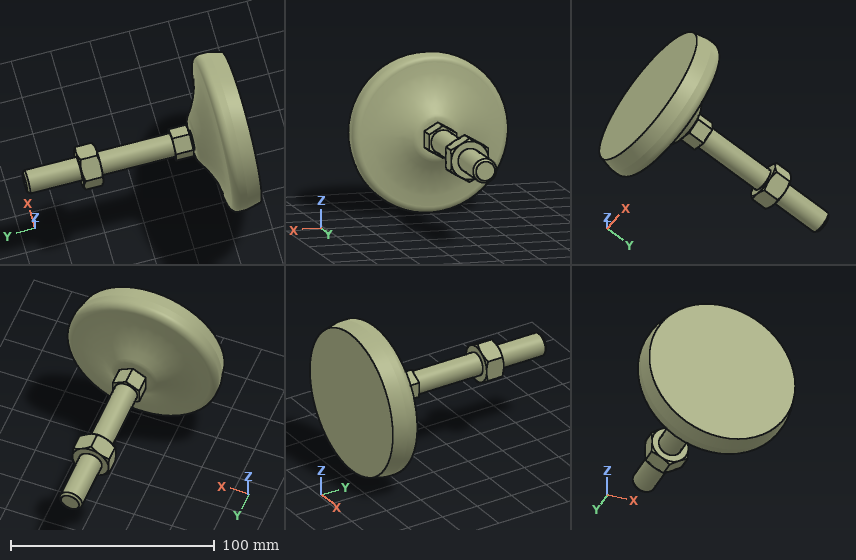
import cadquery as cq
import math


foot_radius = 80.0 / 2
sole_radius = 38.3
seam_height = 7.5
shoulder_height = 11.0
rim_height = 15.0
rim_fillet = rim_height - shoulder_height
dome_top_radius = 12.0
dome_top_height = 24.0
dome_mid_radius = 17.8
dome_mid_height = 20.2
crown_flat_radius = 9.0
foot_height = 25.0

neck_diameter = 10.0
stud_diameter = 12.0
stud_end = 110.0
stud_chamfer = 1.2
collar_width = 14.0
collar_start = 26.0
collar_end = 35.0

nut_width = 19.0
nut_start = 72.5
nut_height = 10.0
nut_chamfer_angle = 30.0


def cylinder(diameter, start, end):
    """Round bar on the Y axis between two heights."""
    bar = cq.Workplane("XY").circle(diameter / 2).extrude(end - start)
    return bar.rotate((0, 0, 0), (1, 0, 0), -90).translate((0, start, 0))


def hexagon(width, start, end):
    """Hexagonal bar on the Y axis with flats facing +X and -X."""
    corner_diameter = width / math.cos(math.pi / 6)
    bar = cq.Workplane("XY").polygon(6, corner_diameter).extrude(end - start).rotate((0, 0, 0), (0, 0, 1), 30)
    return bar.rotate((0, 0, 0), (1, 0, 0), -90).translate((0, start, 0))


def make_foot():
    """Revolved pad with a tapered sole, a rounded rim and a concave dome."""
    fillet_center_radius = foot_radius - rim_fillet
    fillet_mid_offset = rim_fillet * math.sqrt(0.5)
    crown_width = dome_top_radius - crown_flat_radius
    crown_drop = foot_height - dome_top_height
    crown_arc_radius = (crown_width**2 + crown_drop**2) / (2 * crown_drop)
    crown_half_angle = math.atan2(crown_drop, crown_width)
    crown_mid = (
        crown_flat_radius + crown_arc_radius * math.sin(crown_half_angle),
        foot_height - crown_arc_radius * (1 - math.cos(crown_half_angle)),
    )
    profile = (
        cq.Workplane("XY")
        .lineTo(sole_radius, 0)
        .lineTo(foot_radius, seam_height)
        .lineTo(foot_radius, shoulder_height)
        .threePointArc(
            (fillet_center_radius + fillet_mid_offset, shoulder_height + fillet_mid_offset),
            (fillet_center_radius, rim_height),
        )
        .threePointArc((dome_mid_radius, dome_mid_height), (dome_top_radius, dome_top_height))
        .threePointArc(crown_mid, (crown_flat_radius, foot_height))
        .lineTo(0, foot_height)
        .close()
    )
    return profile.revolve(360, (0, 0), (0, 1))


def make_stud():
    """Neck, hexagonal collar and round shank with a chamfered tip."""
    neck = cylinder(neck_diameter, dome_top_height, collar_start)
    collar = hexagon(collar_width, collar_start, collar_end)
    shank = cylinder(stud_diameter, collar_end, stud_end).faces(">Y").chamfer(stud_chamfer)
    return neck.union(collar).union(shank)


def make_nut():
    """Hexagonal nut whose corners are cut by a cone at each end."""
    nut_end = nut_start + nut_height
    corner_radius = nut_width / 2 / math.cos(math.pi / 6)
    face_radius = nut_width / 2
    radial_cut = corner_radius - face_radius
    axial_cut = radial_cut * math.tan(math.radians(nut_chamfer_angle))
    envelope = cylinder(2 * corner_radius, nut_start, nut_end)
    envelope = envelope.faces("<Y or >Y").edges().chamfer(axial_cut, radial_cut)
    return hexagon(nut_width, nut_start, nut_end).intersect(envelope)


result = make_foot().union(make_stud()).union(make_nut())